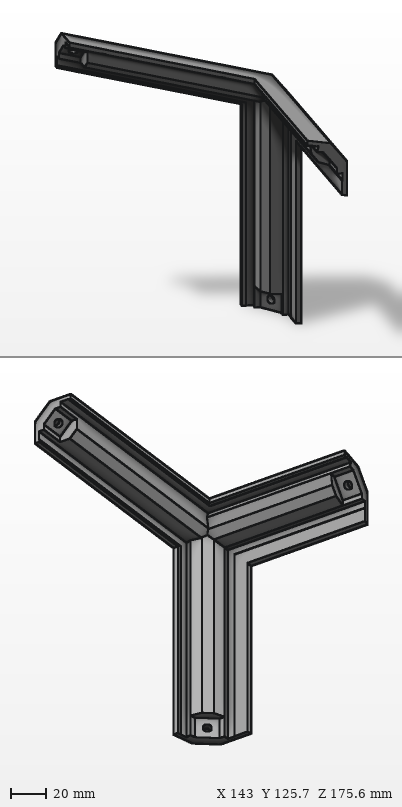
import math

import cadquery as cq


x_arm_end = 110.69
z_arm_end = 143.24
y_arm_end = 125.66
lean_angle = 20.0
lean = math.tan(math.radians(lean_angle)) / math.sqrt(2)
wall_angle = math.atan(lean)
wall_cos = math.cos(wall_angle)
wall_sin = math.sin(wall_angle)

edge_chamfer = 10.0
side_wall_end = 23.8
side_wall_width = side_wall_end / wall_cos
back_wall_width = 31.2
web_thickness = 2.8
lip_thickness = 3.0
lip_start = 22.3
ledge_depth = 6.0
ledge_end = 17.0
recess_corner = 13.6

fill_corner = 14.1
fill_depth = 12.8
lean_fill_corner = 12.8

recess_length = 13.0
lean_recess_length = 12.0
hole_diameter = 4.9
hole_depth = 5.0
hole_overshoot = 1.0
hole_offset = 6.5

overall = 2 * z_arm_end
margin = 60.0


def skew_point(u, v, w):
    """Point reached by u along +X, v toward -Y along the leaning arm and w along -Z."""
    return cq.Vector(u - lean * v, -v, -w + lean * v)


def side_point(along, depth):
    """XY point on the leaning side wall: distance along it and depth below its outer face."""
    return (depth * wall_cos - along * wall_sin, -along * wall_cos - depth * wall_sin)


def back_point(along, depth):
    """XY point on the back wall: distance along it and depth below its outer face."""
    return (along, -depth)


def prism_down(points, end):
    """Vertical prism from above the corner down to the given distance below it."""
    height = margin + end
    return cq.Workplane("XY", origin=(0, 0, margin)).polyline(points).close().extrude(-height)


def skew_prism(corners, travel):
    """Prism swept from a flat polygon along a travel vector."""
    wire = cq.Wire.makePolygon(corners, close=True)
    return cq.Workplane(cq.Solid.extrudeLinear(wire, [], travel))


def leaning_prism(points, end):
    """Prism along the leaning arm; points are (X, -Z) distances from the origin."""
    return skew_prism([skew_point(u, 0, w) for u, w in points], skew_point(0, end, 0))


def symmetric_outline(half):
    """Close a half outline with its reflection in the diagonal and the outer corner."""
    return [(0, 0)] + half + [(w, u) for u, w in reversed(half)]


def inner_half_profile():
    """Inner face of one wall as (along, depth), from the web to the recessed chamfer."""
    return [
        (ledge_end, web_thickness),
        (ledge_end, ledge_depth),
        (recess_corner, ledge_depth),
    ]


def wall_outline(back, side):
    """Outline from the (along, depth) points of the back wall and of the side wall."""
    points = [(0, 0)]
    points += [back_point(along, depth) for along, depth in back]
    points += [side_point(along, depth) for along, depth in reversed(side)]
    return points


def straight_arm(end):
    """Arm along -Z with its end recess."""
    inner = inner_half_profile()
    free_edge_setback = web_thickness * lean
    back = [(back_wall_width, 0), (back_wall_width - free_edge_setback, web_thickness)] + inner
    side = [(side_wall_width, 0), (side_wall_width - free_edge_setback, web_thickness)] + inner
    shell = wall_outline(back, side)
    fill_half = [(ledge_end, 0), (ledge_end, ledge_depth), (fill_corner, fill_depth)]
    fill = wall_outline(fill_half, fill_half)
    return prism_down(shell, end).union(prism_down(fill, end - recess_length))


def leaning_arm():
    """Arm along the leaning direction with its end recess."""
    free_edge = [(side_wall_width, 0), (side_wall_width, web_thickness / wall_cos)]
    shell_half = free_edge + [(a / wall_cos, d / wall_cos) for a, d in inner_half_profile()]
    fill_width = ledge_end / wall_cos
    fill_half = [(fill_width, 0), (fill_width, lean_fill_corner)]
    shell = leaning_prism(symmetric_outline(shell_half), y_arm_end)
    return shell.union(leaning_prism(symmetric_outline(fill_half), y_arm_end - lean_recess_length))


def corner_strip(starts, ends, far):
    """L-shaped strip between two start lines and two end lines, running out to far."""
    (a0, b0), (a1, b1) = starts, ends
    return [(a0, b0), (far, b0), (far, b1), (a1, b1), (a1, far), (a0, far)]


def back_lip():
    """Thicker lip along the free edges of the back wall."""
    starts = (lip_start, lip_start)
    ends = (back_wall_width, back_wall_width)
    corners = [skew_point(u, 0, w) for u, w in corner_strip(starts, ends, overall)]
    return skew_prism(corners, skew_point(0, lip_thickness, 0))


def side_lip():
    """Thicker lip along the free edges of the side wall between the Z arm and the leaning arm."""
    starts = (lip_start * wall_cos, lip_start / wall_cos)
    ends = (side_wall_end, side_wall_width)
    corners = [skew_point(0, v, w) for v, w in corner_strip(starts, ends, overall)]
    return skew_prism(corners, skew_point(lip_thickness / wall_cos, 0, 0))


def swap_arms(shape):
    """Reflect the Z arm onto the X arm."""
    return shape.mirror((1, 0, 1))


def edge_wedge():
    """Material removed by the chamfer along the Z arm's outer corner line."""
    points = [(0, 0), back_point(edge_chamfer, 0), side_point(edge_chamfer, 0)]
    return prism_down(points, z_arm_end + margin)


def corner_tetrahedron():
    """Tip removed so that the three edge chamfers end on one triangular facet."""
    reach = edge_chamfer * wall_cos
    lean_chamfer = edge_chamfer / wall_cos
    origin = cq.Vector(0, 0, 0)
    top = skew_point(lean_chamfer, reach, 0)
    side = skew_point(0, reach, lean_chamfer)
    back = skew_point(edge_chamfer, 0, edge_chamfer)
    triples = [(top, side, back), (origin, top, side), (origin, side, back), (origin, back, top)]
    wires = [cq.Wire.makePolygon(list(corners), close=True) for corners in triples]
    faces = [cq.Face.makeFromWires(wire) for wire in wires]
    return cq.Workplane(cq.Solid.makeSolid(cq.Shell.makeShell(faces)))


def envelope():
    """Chamfered outer corner that bounds all three arms."""
    lean_chamfer = edge_chamfer / wall_cos
    outline = [(lean_chamfer, 0), (overall, 0), (overall, overall), (0, overall), (0, lean_chamfer)]
    ends = cq.Workplane().box(2 * x_arm_end, 2 * y_arm_end, 2 * z_arm_end)
    body = leaning_prism(outline, y_arm_end).intersect(ends)
    return body.cut(edge_wedge()).cut(swap_arms(edge_wedge())).cut(corner_tetrahedron())


def blind_hole(center, outward):
    """Hole drilled into a recess floor against its outward normal."""
    start = center + outward * hole_overshoot
    length = hole_depth + hole_overshoot
    return cq.Workplane(cq.Solid.makeCylinder(hole_diameter / 2, length, start, -outward))


def straight_arm_hole(end):
    """Hole in the recess of an arm along -Z."""
    bx, by = back_point(recess_corner, ledge_depth)
    sx, sy = side_point(recess_corner, ledge_depth)
    center = cq.Vector((bx + sx) / 2, (by + sy) / 2, hole_offset - end)
    return blind_hole(center, cq.Vector(by - sy, sx - bx, 0).normalized())


def leaning_arm_hole():
    """Hole in the recess of the leaning arm."""
    middle = (recess_corner + ledge_depth) / (2 * wall_cos)
    center = skew_point(middle, y_arm_end - hole_offset, middle)
    across = cq.Vector(1, 0, 1)
    along = skew_point(0, 1, 0)
    return blind_hole(center, across.cross(along).normalized())


arms = leaning_arm().union(straight_arm(z_arm_end)).union(swap_arms(straight_arm(x_arm_end)))
lips = back_lip().union(side_lip()).union(swap_arms(side_lip()))
result = arms.union(lips).intersect(envelope())
result = result.cut(straight_arm_hole(z_arm_end))
result = result.cut(swap_arms(straight_arm_hole(x_arm_end)))
result = result.cut(leaning_arm_hole())